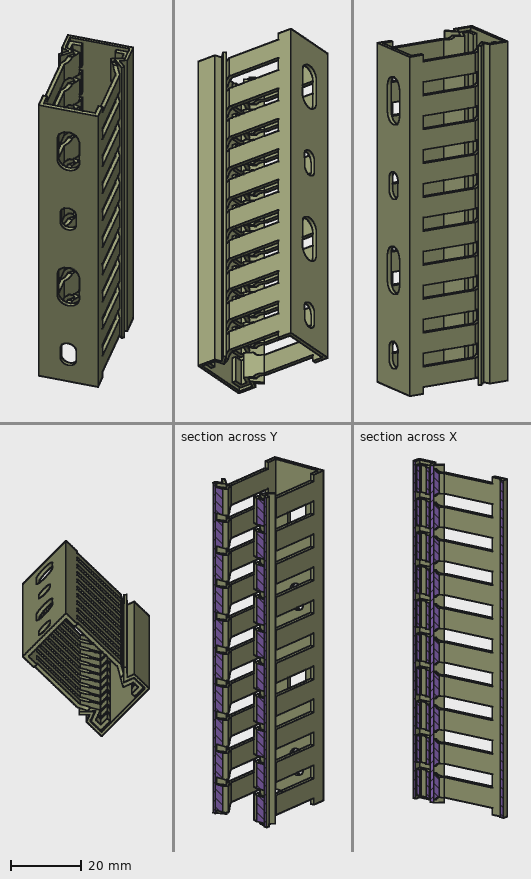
import cadquery as cq
import math

LENGTH = 100.0
WIDTH = 19.4
DEPTH = 32.2

COVER_WALL = 0.9
COVER_SIDE_END_Y = 26.2
COVER_WAIST_X = 7.6
COVER_WAIST_Y = 25.4
LIP_ANGLE = 45.0

BASE_HALF_WIDTH = WIDTH / 2 - COVER_WALL
BASE_WALL = 1.2
BASE_CLEARANCE = 0.3
FLANGE_END_X = 5.0
WALL_BEND_Y = 21.8
WALL_INNER_BEND_Y = 21.6
LEAN_ANGLE = 60.0
BARB_ROOT_Y = 27.9

GAP_PITCH = 10.0
GAP_WIDTH = 4.0
GAP_ROOT_Y = 4.5
NECK_WIDTH = 2.0
FLARE_START_Y = 22.6
NECK_START_Y = 24.3

MOUNTING_SLOTS = [
    (6.5, 14.0, (35.0, 85.0)),
    (4.7, 8.0, (10.0, 60.0)),
]


def mirrored(points):
    """Close a +X half outline with its mirror image across the YZ plane."""
    return points + [(-x, y) for x, y in reversed(points)]


def inward_offset(path, distance):
    """Offset an open path to its left, with sharp mitred corners and square ends."""
    normals = []
    for (x0, y0), (x1, y1) in zip(path, path[1:]):
        run = math.hypot(x1 - x0, y1 - y0)
        normals.append(((y0 - y1) / run, (x1 - x0) / run))
    offset = []
    for (x, y), (ax, ay), (bx, by) in zip(path, normals[:1] + normals, normals + normals[-1:]):
        reach = distance / (1 + ax * bx + ay * by)
        offset.append((x + reach * (ax + bx), y + reach * (ay + by)))
    return offset


def line_crossing(point_a, slope_a, point_b, slope_b):
    """Crossing point of two lines, each given by a point and a slope."""
    (xa, ya), (xb, yb) = point_a, point_b
    x = (yb - ya + slope_a * xa - slope_b * xb) / (slope_a - slope_b)
    return x, ya + slope_a * (x - xa)


def cover_half_paths():
    """Outer and inner +X half paths of the cover, from the lip end to the middle."""
    half_width = WIDTH / 2
    lip_drop = (half_width - COVER_WAIST_X) * math.tan(math.radians(LIP_ANGLE))
    outer = [
        (half_width, COVER_WAIST_Y - lip_drop),
        (COVER_WAIST_X, COVER_WAIST_Y),
        (half_width, COVER_SIDE_END_Y),
        (half_width, DEPTH),
        (0, DEPTH),
    ]
    return outer, inward_offset(outer, COVER_WALL)


def make_cover():
    """Cover extruded over the full length."""
    outer, inner = cover_half_paths()
    outline = mirrored(outer[:-1]) + mirrored(inner[:-1])[::-1]
    return cq.Workplane("XY").polyline(outline).close().extrude(LENGTH)


def base_channel():
    """Channel whose barbed side walls rest on the inner faces of the cover lips."""
    _, (_, lip_root, side_corner, top_corner, _) = cover_half_paths()
    lip_slope = -math.tan(math.radians(LIP_ANGLE))
    hook_slope = (side_corner[1] - lip_root[1]) / (side_corner[0] - lip_root[0])
    flange_y = top_corner[1] - BASE_CLEARANCE
    hook_corner = (BASE_HALF_WIDTH, side_corner[1] + BASE_CLEARANCE)
    lean_slope = -math.tan(math.radians(LEAN_ANGLE))
    lean_seat = line_crossing(lip_root, lip_slope, (BASE_HALF_WIDTH, WALL_BEND_Y), lean_slope)
    hook_root = line_crossing(lip_root, lip_slope, hook_corner, hook_slope)
    inner_x = BASE_HALF_WIDTH - BASE_WALL
    barb_root = (inner_x, BARB_ROOT_Y)
    inner_bend = (inner_x, WALL_INNER_BEND_Y)
    barb_tip = line_crossing(barb_root, hook_slope, inner_bend, lean_slope)
    outer = [
        (BASE_HALF_WIDTH, 0),
        (BASE_HALF_WIDTH, WALL_BEND_Y),
        lean_seat,
        hook_root,
        hook_corner,
        (BASE_HALF_WIDTH, flange_y),
        (FLANGE_END_X, flange_y),
    ]
    inner = [
        (FLANGE_END_X, flange_y - BASE_WALL),
        (inner_x, flange_y - BASE_WALL),
        barb_root,
        barb_tip,
        inner_bend,
        (inner_x, BASE_WALL),
    ]
    return cq.Workplane("XY").polyline(mirrored(outer + inner)).close().extrude(LENGTH)


def tooth_gap(z):
    """Cutter for one gap, square at the rail and narrowed along arcs between the tooth heads."""
    half_gap = GAP_WIDTH / 2
    half_neck = NECK_WIDTH / 2
    step = half_gap - half_neck
    span = NECK_START_Y - FLARE_START_Y
    radius = (span ** 2 + step ** 2) / (2 * step)
    mid_angle = math.asin(span / radius) / 2
    mid_y = FLARE_START_Y + radius * math.sin(mid_angle)
    mid_z = half_gap - radius * (1 - math.cos(mid_angle))
    return (
        cq.Workplane("YZ", origin=(0, 0, z))
        .moveTo(GAP_ROOT_Y, -half_gap)
        .lineTo(FLARE_START_Y, -half_gap)
        .threePointArc((mid_y, -mid_z), (NECK_START_Y, -half_neck))
        .lineTo(DEPTH, -half_neck)
        .lineTo(DEPTH, half_neck)
        .lineTo(NECK_START_Y, half_neck)
        .threePointArc((mid_y, mid_z), (FLARE_START_Y, half_gap))
        .lineTo(GAP_ROOT_Y, half_gap)
        .close()
        .extrude(WIDTH / 2, both=True)
    )


def mounting_slots(width, length, heights):
    """Cutters for a row of upright slots through the front plate."""
    return (
        cq.Workplane("XZ")
        .pushPoints([(0, z) for z in heights])
        .slot2D(length, width, 90)
        .extrude(-BASE_WALL)
    )


def make_base():
    """Channel with its side walls cut into teeth and its front plate slotted."""
    base = base_channel()
    for index in range(round(LENGTH / GAP_PITCH) + 1):
        base = base.cut(tooth_gap(index * GAP_PITCH))
    for width, length, heights in MOUNTING_SLOTS:
        base = base.cut(mounting_slots(width, length, heights))
    return base


cover = make_cover()
base = make_base()

result = cq.Compound.makeCompound([cover.val(), base.val()])